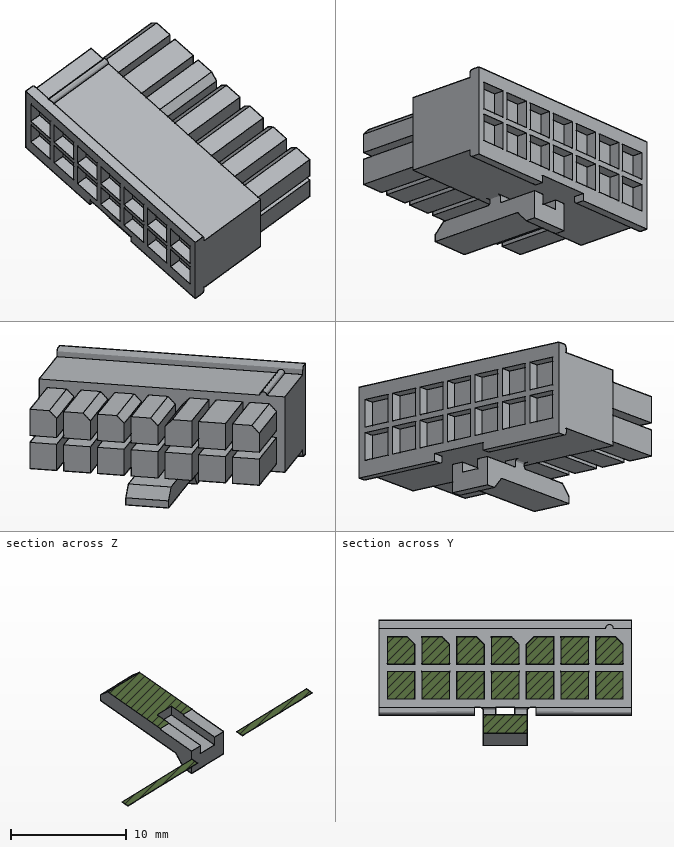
import cadquery as cq


overall_depth = 14.0
overall_height = 10.84

housing_length = 21.85
housing_depth = 7.63
housing_bottom = 0.68
housing_top = 7.52
flange_height = 8.22
flange_depth = 1.05
flange_fillet = 0.33

rib_radius = 0.33

columns = 7
rows = 2
row_span = 18.0
pitch = row_span / (columns - 1)
socket_row_z = 2.73
tower_row_z = 2.6
socket_size = 2.5
socket_depth = 1.0
tower_size = 2.38
tower_chamfer = 0.65
upper_chamfers = ["<X", None, ">X", "<X", "<X", "<X", "<X"]

notch_width = 5.29
latch_width = 3.8
latch_front = 1.57
latch_rear = 13.09
latch_bottom = -1.55
latch_front_top = -0.07
latch_rear_top = 0.07
latch_rear_chamfer = 0.96
hook_bottom = flange_height - overall_height
hook_tip = 0.98
hook_slope_run = 1.03
post_front = 5.53
post_rear = 6.73
front_root_fillet = 0.13
rear_root_fillet = 0.3
post_flare = 0.26
slot_width = 1.64
slot_floor = -0.96


def block(width, y_front, y_rear, z_bottom, z_top, x_center=0.0):
    """Box centred on x_center between the given Y and Z limits."""
    size = (width, y_rear - y_front, z_top - z_bottom)
    corner = (x_center - width / 2, y_front, z_bottom)
    return cq.Workplane("XY").box(*size, centered=False).translate(corner)


def make_housing():
    flange = block(housing_length, 0, flange_depth, 0, flange_height)
    flange = flange.edges("|X and >Y").fillet(flange_fillet)
    body = block(housing_length, 0, housing_depth, housing_bottom, housing_top)
    notch = block(notch_width, 0, flange_depth, 0, housing_bottom)
    rib = (
        cq.Workplane("XZ", origin=(column_x(0), flange_depth, housing_top))
        .circle(rib_radius)
        .extrude(flange_depth - housing_depth)
    )
    return flange.cut(notch).union(body).union(rib)


def column_x(column):
    return (column - (columns - 1) / 2) * pitch


def make_tower(column, row):
    z = tower_row_z + row * pitch
    half = tower_size / 2
    tower = block(tower_size, housing_depth, overall_depth, z - half, z + half, column_x(column))
    side = upper_chamfers[column]
    if row == rows - 1 and side:
        tower = tower.faces(side).edges(">Z").chamfer(tower_chamfer)
    return tower


def make_socket(column, row):
    z = socket_row_z + row * pitch
    half = socket_size / 2
    return block(socket_size, 0, socket_depth, z - half, z + half, column_x(column))


def make_latch():
    return (
        cq.Workplane("YZ", origin=(-latch_width / 2, 0, 0))
        .moveTo(latch_front, hook_bottom)
        .lineTo(latch_front + hook_tip, hook_bottom)
        .lineTo(latch_front + hook_tip + hook_slope_run, latch_bottom)
        .lineTo(latch_rear, latch_bottom)
        .lineTo(latch_rear, latch_rear_top - latch_rear_chamfer)
        .lineTo(latch_rear - latch_rear_chamfer, latch_rear_top)
        .lineTo(post_rear + rear_root_fillet, latch_rear_top)
        .radiusArc((post_rear, latch_rear_top + rear_root_fillet), rear_root_fillet)
        .lineTo(post_rear, housing_bottom)
        .lineTo(post_front, housing_bottom)
        .lineTo(post_front, latch_front_top + front_root_fillet)
        .radiusArc((post_front - front_root_fillet, latch_front_top), front_root_fillet)
        .lineTo(latch_front, latch_front_top)
        .close()
        .extrude(latch_width)
    )


def flare_post(connector):
    """Round the corner between the housing underside and the sides and rear of the post."""
    margin = post_flare / 2
    reach = latch_width / 2 + margin
    root = cq.selectors.BoxSelector(
        (-reach, post_front + margin, housing_bottom - margin),
        (reach, post_rear + margin, housing_bottom + margin),
    )
    return connector.edges(root).fillet(post_flare)


def make_latch_slot():
    return block(slot_width, latch_front, post_rear + rear_root_fillet, slot_floor, housing_bottom)


result = flare_post(make_housing().union(make_latch())).cut(make_latch_slot())
for row in range(rows):
    for column in range(columns):
        result = result.union(make_tower(column, row)).cut(make_socket(column, row))